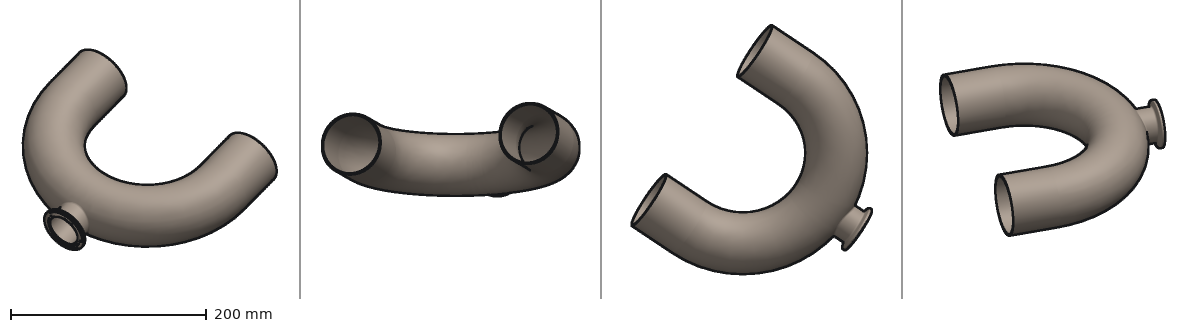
import cadquery as cq
import math

tube_diameter = 63.5
tube_bore = 60.2
overall_width = 254.0
bend_radius = (overall_width - tube_diameter) / 2
leg_length = 50.8

overall_depth = 193.8
face_distance = overall_depth - leg_length
neck_diameter = 38.0
neck_bore = 34.8
flange_diameter = 50.3
flange_edge_height = 3.0
flange_back_angle = 20.0
flange_edge_fillet = 0.8
neck_fillet = 1.8
saddle_fillet = 1.8

groove_outer_diameter = 46.2
groove_inner_diameter = 40.1
groove_depth = 1.3
groove_lip_fillet = 0.5


def u_bend(diameter):
    """Solid rod of the given diameter along two straight legs and a half-turn bend."""
    axis = (
        cq.Workplane("XY")
        .moveTo(-bend_radius, leg_length)
        .lineTo(-bend_radius, 0)
        .threePointArc((0, -bend_radius), (bend_radius, 0))
        .lineTo(bend_radius, leg_length)
    )
    leg_end = cq.Workplane("XZ", origin=(-bend_radius, leg_length, 0))
    return leg_end.circle(diameter / 2).sweep(axis)


def branch_rod(diameter):
    """Solid rod from the tube axis at the crown out to the sealing face."""
    crown = cq.Workplane("XZ", origin=(0, -bend_radius, 0))
    return crown.circle(diameter / 2).extrude(face_distance - bend_radius)


def ferrule_flange():
    """Revolved flange with a conical back and rounded edges, overlapping the neck."""
    neck_radius = neck_diameter / 2
    flange_radius = flange_diameter / 2
    slope = math.radians(flange_back_angle)
    turn = math.radians(90 - flange_back_angle)
    edge_y = -face_distance + flange_edge_height
    cone_top_y = edge_y + (flange_radius - neck_radius) * math.tan(slope)

    def corner_points(radius, corner_y, fillet, side):
        """Start, middle and end of a corner arc; side is +1 at the neck, -1 at the rim."""
        tangent = fillet * math.tan(turn / 2)
        centre_x = radius + side * fillet
        centre_y = corner_y + side * tangent

        def on_arc(angle):
            return (centre_x - side * fillet * math.cos(angle), centre_y - side * fillet * math.sin(angle))

        return on_arc(0), on_arc(turn / 2), on_arc(turn)

    rim_start, rim_middle, rim_end = corner_points(flange_radius, edge_y, flange_edge_fillet, -1)
    neck_end, neck_middle, neck_start = corner_points(neck_radius, cone_top_y, neck_fillet, 1)
    profile = (
        cq.Workplane("XY")
        .moveTo(0, -face_distance)
        .lineTo(flange_radius, -face_distance)
        .lineTo(*rim_start)
        .threePointArc(rim_middle, rim_end)
        .lineTo(*neck_start)
        .threePointArc(neck_middle, neck_end)
        .lineTo(0, neck_end[1])
        .close()
    )
    return profile.revolve(360, (0, 0, 0), (0, 1, 0))


def gasket_groove():
    """Ring with an arc-shaped section, cut into the sealing face."""
    inner_radius = groove_inner_diameter / 2
    outer_radius = groove_outer_diameter / 2
    mean_radius = (inner_radius + outer_radius) / 2
    profile = (
        cq.Workplane("XY")
        .moveTo(inner_radius, -face_distance)
        .threePointArc((mean_radius, groove_depth - face_distance), (outer_radius, -face_distance))
        .close()
    )
    return profile.revolve(360, (0, 0, 0), (0, 1, 0))


body = u_bend(tube_diameter).union(branch_rod(neck_diameter))
body = body.edges("not(%CIRCLE or %LINE)").fillet(saddle_fillet)
body = body.union(ferrule_flange())

body = body.cut(u_bend(tube_bore)).cut(branch_rod(neck_bore)).cut(gasket_groove())

face_edges = body.faces("<Y").edges()
inner_rim = face_edges.edges(cq.selectors.RadiusNthSelector(1))
outer_rim = face_edges.edges(cq.selectors.RadiusNthSelector(2))
result = inner_rim.add(outer_rim).fillet(groove_lip_fillet)